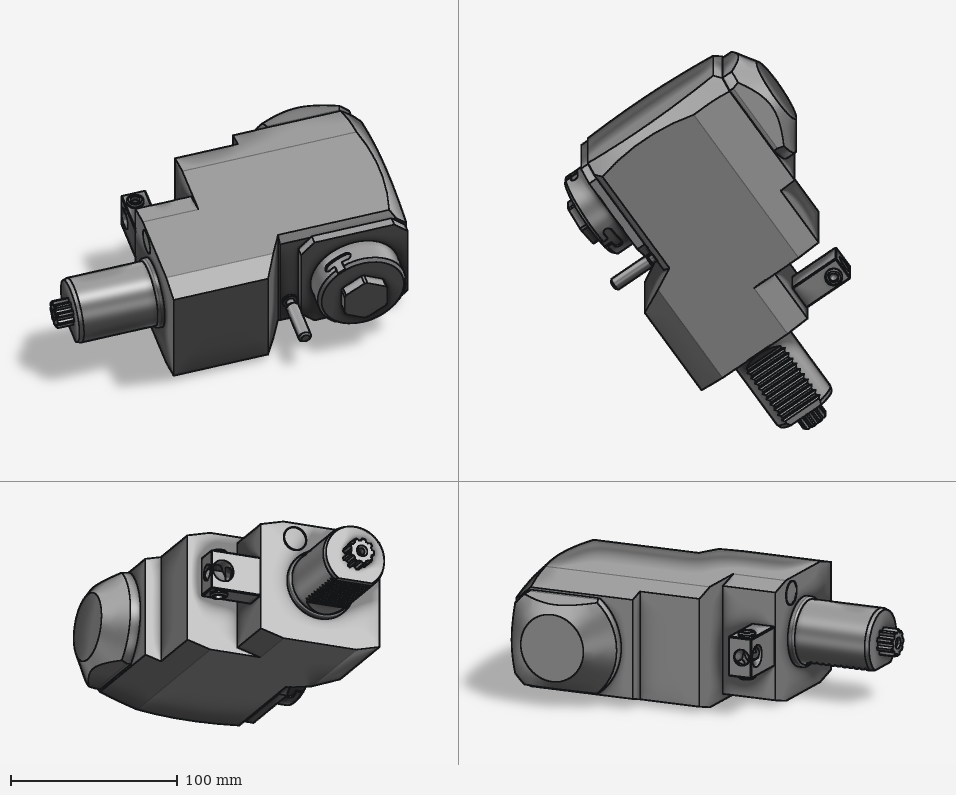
import cadquery as cq
import math


half_height = 37.5
bevel_slope = math.tan(math.radians(15))
upper_bevel_x = -56.6
right_x = 39.3
right_bevel_x = 23.9
base_left_x = -38.6
base_left_bevel_x = -23.9
base_top_y = 35.0
middle_left_x = -71.5
head_bottom_y = 74.5
head_left_x = -81.5
head_right_x = 14.5
head_right_bevel_x = 10.5
head_right_slope = 1.0
head_top_y = 153.9
shoulder_low_y = 59.2
head_corner_chamfer = 4.0

rear_cone_x = -23.2
rear_cone_y = 18.5
rear_cone_radius = 130.2

spindle_y = 119.4
cap_radius = 37.3
cap_end_radius = 20.8
cap_cone_x = -88.0
cap_end_x = -99.8
cap_rear_y = 149.5
cap_corner_chamfer = 7.4
cap_flat_x = -84.2
cap_flat_half_height = 29.3

plate_end_x = 20.0
plate_bottom_y = 86.0
plate_top_y = 153.0
plate_half_height = 34.3
plate_chamfer = 8.5

nut_neck_radius = 25.0
nut_start_x = 21.0
nut_end_x = 37.3
nut_radius = 27.8
nut_chamfer = 2.0
nut_slot_count = 3
nut_slot_x = 29.5
nut_slot_width = 5.2
nut_slot_depth = 1.5
nut_slot_half_angle = 19.0
nut_first_slot_angle = 30.0
hex_end_x = 43.8
hex_across_flats = 27.0
hex_corner_chamfer = 1.0

pin_y = 80.3
pin_z = -17.4
pin_radius = 4.0
pin_neck_radius = 2.5
pin_collar_radius = 4.5
pin_collar_length = 1.5
pin_body_x = 20.0
pin_end_x = 47.5
pin_end_chamfer = 1.3
pin_start_chamfer = 0.9

shank_radius = 20.0
shank_length = 53.0
shank_end_taper = 0.9
shank_end_taper_length = 2.5
collar_radius = 21.5
collar_length = 2.4
rack_z = -15.6
rack_start = 4.3
rack_run_in = 8.7
rack_notch_count = 10
rack_first_notch = 11.5
rack_last_notch = 47.5
rack_notch_depth = 1.3
rack_notch_width = 2.5

spline_length = 10.2
spline_teeth = 9
spline_root_radius = 6.7
spline_tip_radius = 8.5
spline_root_half_width = 0.32
spline_tip_half_width = 0.14
spline_chamfer = 0.9
spline_bore_radius = 2.2
spline_sink_radius = 3.5
spline_bore_depth = 6.5

block_left_x = -70.7
block_front_y = 0.7
block_rear_y = 16.0
block_half_height = 12.4
block_edge_chamfer = 0.7
nozzle_x = -63.0
nozzle_y = 7.4
nozzle_radius = 6.7
nozzle_floor_half_height = 4.5
nozzle_taper_y = 9.1
nozzle_floor_y = 13.0
side_bore_radius = 5.0
side_bore_end_x = -53.2
feed_radius = 1.3
feed_depth = 6.5
screw_radius = 5.2
screw_height = 2.2
screw_chamfer = 1.0
socket_radius = 2.8
socket_depth = 3.3

plug_x = -16.0
plug_z = 27.8
plug_radius = 7.4
plug_gap = 0.2
plug_gap_depth = 0.7


def x_cylinder(radius, x_start, x_end, y, z):
    """Cylinder parallel to X."""
    return cq.Workplane("YZ", origin=(x_start, y, z)).circle(radius).extrude(x_end - x_start)


def y_cylinder(radius, y_start, y_end, x, z):
    """Cylinder parallel to Y."""
    return cq.Workplane("XZ", origin=(x, y_start, z)).circle(radius).extrude(y_start - y_end)


def housing_step(left_x, left_bevel_x, end_x, end_bevel_x, y_start, y_end, end_slope=bevel_slope):
    """Slab along Y whose top and bottom faces fall away to both sides."""
    left_z = half_height - (left_bevel_x - left_x) * bevel_slope
    end_z = half_height - (end_x - end_bevel_x) * end_slope
    upper = [(left_x, left_z), (left_bevel_x, half_height), (end_bevel_x, half_height), (end_x, end_z)]
    lower = [(x, -z) for x, z in reversed(upper)]
    return cq.Workplane("XZ", origin=(0, y_start, 0)).polyline(upper + lower).close().extrude(y_start - y_end)


def rear_cone():
    """Double cone that is widest at mid height."""
    profile = [
        (0, -half_height),
        (rear_cone_radius, -half_height),
        (rear_cone_radius + half_height, 0),
        (rear_cone_radius, half_height),
        (0, half_height),
    ]
    return (
        cq.Workplane("XZ").polyline(profile).close()
        .revolve(360, (0, 0), (0, 1))
        .translate((rear_cone_x, rear_cone_y, 0))
    )


def lower_housing():
    base = housing_step(base_left_x, base_left_bevel_x, right_x, right_bevel_x, 0, base_top_y)
    middle = housing_step(middle_left_x, upper_bevel_x, right_x, right_bevel_x, base_top_y, head_bottom_y)
    shoulder_cut = (
        cq.Workplane("XY", origin=(0, 0, -half_height))
        .polyline([(head_right_bevel_x, head_bottom_y), (right_x, shoulder_low_y), (right_x, head_bottom_y)])
        .close()
        .extrude(2 * half_height)
    )
    return base.union(middle).cut(shoulder_cut)


def head():
    body = housing_step(
        head_left_x, upper_bevel_x, head_right_x, head_right_bevel_x, head_bottom_y, head_top_y,
        end_slope=head_right_slope,
    )
    corner_cut = (
        cq.Workplane("XY", origin=(head_left_x, head_top_y, -half_height))
        .polyline([(0, 0), (head_corner_chamfer, 0), (0, -head_corner_chamfer)])
        .close()
        .extrude(2 * half_height)
    )
    return body.cut(corner_cut)


def spindle_cap():
    """Conical cap trimmed flat at the rear and along the bevels."""
    round_cap = (
        cq.Workplane("XY")
        .polyline([
            (head_left_x, 0),
            (head_left_x, cap_radius),
            (cap_cone_x, cap_radius),
            (cap_end_x, cap_end_radius),
            (cap_end_x, 0),
        ])
        .close()
        .revolve(360, (0, 0), (1, 0))
        .translate((0, spindle_y, 0))
    )
    end_z = cap_flat_half_height - (cap_flat_x - cap_end_x) * bevel_slope
    upper = [(cap_end_x, end_z), (cap_flat_x, cap_flat_half_height), (head_left_x, cap_flat_half_height)]
    lower = [(x, -z) for x, z in reversed(upper)]
    trim = (
        cq.Workplane("XZ", origin=(0, cap_rear_y, 0))
        .polyline(upper + lower).close().extrude(2 * cap_radius)
    )
    corner_z = cap_flat_half_height - cap_corner_chamfer
    corner_y = cap_rear_y - cap_corner_chamfer
    corner = (
        cq.Workplane("YZ", origin=(cap_end_x, 0, 0))
        .polyline([
            (corner_y, cap_flat_half_height),
            (cap_rear_y, cap_flat_half_height),
            (cap_rear_y, corner_z),
        ])
        .close()
        .extrude(head_left_x - cap_end_x)
    )
    return round_cap.intersect(trim).cut(corner).cut(corner.mirror("XY"))


def spindle_plate():
    return (
        cq.Workplane("XY")
        .box(
            plate_end_x - head_right_x,
            plate_top_y - plate_bottom_y,
            2 * plate_half_height,
            centered=(False, False, True),
        )
        .edges("|X").chamfer(plate_chamfer)
        .translate((head_right_x, plate_bottom_y, 0))
    )


def nut_slot(angle):
    """Short rounded slot around the nut, with a keyway running to the nut's end face."""
    slot_length = 2 * nut_radius * math.sin(math.radians(nut_slot_half_angle))
    opening = (
        cq.Workplane("XY", origin=(nut_slot_x, 0, 0))
        .slot2D(slot_length, nut_slot_width, 90).extrude(2 * nut_radius)
    )
    keyway_length = nut_end_x - nut_slot_x
    keyway = (
        cq.Workplane("XY", origin=(nut_slot_x + keyway_length / 2, 0, 0))
        .rect(keyway_length, nut_slot_width).extrude(2 * nut_radius)
    )
    shell = (
        cq.Workplane("YZ", origin=(nut_start_x, 0, 0))
        .circle(2 * nut_radius).circle(nut_radius - nut_slot_depth).extrude(nut_end_x - nut_start_x)
    )
    return opening.union(keyway).intersect(shell).rotate((0, 0, 0), (1, 0, 0), angle)


def clamping_nut():
    neck = x_cylinder(nut_neck_radius, plate_end_x, nut_start_x, 0, 0)
    nut = x_cylinder(nut_radius, nut_start_x, nut_end_x, 0, 0).faces(">X").chamfer(nut_chamfer)
    for index in range(nut_slot_count):
        nut = nut.cut(nut_slot(nut_first_slot_angle + index * 360 / nut_slot_count))
    hexagon = (
        cq.Workplane("YZ", origin=(nut_end_x, 0, 0))
        .polygon(6, hex_across_flats, circumscribed=True).extrude(hex_end_x - nut_end_x)
        .edges("|X").chamfer(hex_corner_chamfer)
    )
    return neck.union(nut).union(hexagon).translate((0, spindle_y, 0))


def lever_pin():
    neck = x_cylinder(pin_neck_radius, head_right_x, pin_body_x, pin_y, pin_z)
    collar = x_cylinder(pin_collar_radius, head_right_x, head_right_x + pin_collar_length, pin_y, pin_z)
    body = (
        x_cylinder(pin_radius, pin_body_x, pin_end_x, pin_y, pin_z)
        .faces(">X").chamfer(pin_end_chamfer)
        .faces("<X").chamfer(pin_start_chamfer)
    )
    return neck.union(collar).union(body)


def shank():
    """Round shank with a rounded collar and a toothed flat on its lower side."""
    collar_round = collar_radius - shank_radius
    diagonal = math.sqrt(0.5)
    body = (
        cq.Workplane("XY")
        .lineTo(collar_radius, 0)
        .lineTo(collar_radius, -collar_length)
        .threePointArc(
            (shank_radius + collar_round * diagonal, -collar_length - collar_round * diagonal),
            (shank_radius, -collar_length - collar_round),
        )
        .lineTo(shank_radius, shank_end_taper_length - shank_length)
        .lineTo(shank_radius - shank_end_taper, -shank_length)
        .lineTo(0, -shank_length)
        .close()
        .revolve(360, (0, 0), (0, 1))
    )
    rack_pitch = (rack_last_notch - rack_first_notch) / (rack_notch_count - 1)
    rack_profile = [(-rack_start, -shank_radius), (-rack_run_in, rack_z)]
    for index in range(rack_notch_count):
        notch_y = -rack_first_notch - index * rack_pitch
        rack_profile += [
            (notch_y + rack_notch_width / 2, rack_z),
            (notch_y, rack_z + rack_notch_depth),
            (notch_y - rack_notch_width / 2, rack_z),
        ]
    rack_profile += [(-shank_length, rack_z), (-shank_length, -shank_radius)]
    rack = cq.Workplane("YZ").polyline(rack_profile).close().extrude(shank_radius, both=True)
    return body.cut(rack)


def spline():
    """Toothed drive end of the shank with a countersunk centre bore."""
    tooth_angle = 2 * math.pi / spline_teeth
    points = []
    for index in range(spline_teeth):
        center = index * tooth_angle
        for offset, radius in (
            (-spline_root_half_width, spline_root_radius),
            (-spline_tip_half_width, spline_tip_radius),
            (spline_tip_half_width, spline_tip_radius),
            (spline_root_half_width, spline_root_radius),
        ):
            angle = center + offset * tooth_angle
            points.append((radius * math.cos(angle), radius * math.sin(angle)))
    end_y = -shank_length - spline_length
    toothed = cq.Workplane("XZ", origin=(0, -shank_length, 0)).polyline(points).close().extrude(spline_length)
    envelope = y_cylinder(spline_tip_radius, -shank_length, end_y, 0, 0).faces("<Y").chamfer(spline_chamfer)
    sink_depth = spline_sink_radius - spline_bore_radius
    bore = (
        cq.Workplane("XY")
        .polyline([
            (0, end_y),
            (spline_sink_radius, end_y),
            (spline_bore_radius, end_y + sink_depth),
            (spline_bore_radius, end_y + spline_bore_depth),
            (0, end_y + spline_bore_depth),
        ])
        .close()
        .revolve(360, (0, 0), (0, 1))
    )
    return toothed.intersect(envelope).cut(bore)


def block_screw():
    """Screw head on top of the coolant block, with a conical-bottomed socket."""
    top_z = block_half_height + screw_height
    screw = (
        cq.Workplane("XY", origin=(nozzle_x, nozzle_y, block_half_height))
        .circle(screw_radius).extrude(screw_height)
        .faces(">Z").chamfer(screw_chamfer)
    )
    socket = (
        cq.Workplane("XZ")
        .polyline([
            (0, top_z),
            (socket_radius, top_z),
            (socket_radius, top_z - socket_depth),
            (0, top_z - socket_depth - socket_radius),
        ])
        .close()
        .revolve(360, (0, 0), (0, 1))
        .translate((nozzle_x, nozzle_y, 0))
    )
    return screw, socket


def coolant_block():
    """Block with a nozzle pocket, a crossing side bore and a screw above and below."""
    block = (
        cq.Workplane("XY")
        .box(
            base_left_x - block_left_x,
            block_rear_y - block_front_y,
            2 * block_half_height,
            centered=(False, False, True),
        )
        .edges("|X or <X").chamfer(block_edge_chamfer)
        .translate((block_left_x, block_front_y, 0))
    )
    upper = [
        (block_front_y, nozzle_radius),
        (nozzle_taper_y, nozzle_radius),
        (nozzle_floor_y, nozzle_floor_half_height),
    ]
    lower = [(y, -z) for y, z in reversed(upper)]
    trough = (
        cq.Workplane("YZ", origin=(nozzle_x, 0, 0))
        .polyline(upper + lower).close().extrude(nozzle_radius, both=True)
    )
    nozzle = y_cylinder(nozzle_radius, block_front_y, nozzle_floor_y, nozzle_x, 0).intersect(trough)
    side_bore = x_cylinder(side_bore_radius, block_left_x, side_bore_end_x, nozzle_y, 0)
    feed = x_cylinder(feed_radius, side_bore_end_x, side_bore_end_x + feed_depth, nozzle_y, 0)
    block = block.cut(nozzle).cut(side_bore).cut(feed)
    screw, socket = block_screw()
    for head_part, hollow in ((screw, socket), (screw.mirror("XY"), socket.mirror("XY"))):
        block = block.union(head_part).cut(hollow)
    return block


def plug_groove():
    """Thin ring gap around the plug."""
    return (
        cq.Workplane("XZ", origin=(plug_x, 0, plug_z))
        .circle(plug_radius).circle(plug_radius - plug_gap).extrude(-plug_gap_depth)
    )


result = (
    head().intersect(rear_cone())
    .union(spindle_cap())
    .union(lower_housing())
    .cut(plug_groove())
    .union(spindle_plate())
    .union(clamping_nut())
    .union(lever_pin())
    .union(shank())
    .union(spline())
    .union(coolant_block())
)